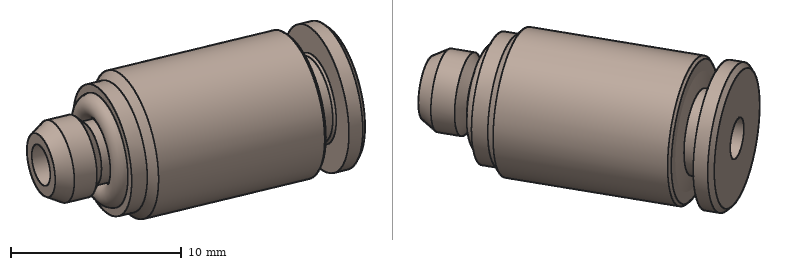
import cadquery as cq

total_length = 19.1
body_diameter = 9.0
body_radius = body_diameter / 2
bore_diameter = 2.5

neck_radius = 1.93
nose_radius = 2.5
nose_taper_end = 0.97
nose_land_end = 2.45
neck_start = 3.02

seal_front = 3.3
seal_radius = 3.48

flange_radius = 4.0
flange_face = 4.0
flange_end = 5.0
body_start = 5.5
body_end = total_length - 2.62
body_chamfer = 0.17

cone_radius = 3.61
cone_height = 0.21

stem_radius = 2.62
stem_flare = 0.15
button_thickness = 1.2
button_chamfer = 0.3
button_start = total_length - button_thickness


def make_revolved_solid():
    """Revolve the outer half profile, given as (radius, Y), about the Y axis."""
    seal_middle_radius = (neck_radius + seal_radius) / 2
    profile = (
        cq.Workplane("XY")
        .moveTo(0, 0)
        .lineTo(neck_radius, 0)
        .lineTo(nose_radius, nose_taper_end)
        .lineTo(nose_radius, nose_land_end)
        .lineTo(neck_radius, neck_start)
        .lineTo(neck_radius, flange_face)
        .threePointArc((seal_middle_radius, seal_front), (seal_radius, flange_face))
        .lineTo(flange_radius, flange_face)
        .lineTo(flange_radius, flange_end)
        .lineTo(body_radius, body_start)
        .lineTo(body_radius, body_end - body_chamfer)
        .lineTo(body_radius - body_chamfer, body_end)
        .lineTo(cone_radius, body_end)
        .lineTo(stem_radius, body_end + cone_height)
        .lineTo(stem_radius, button_start - stem_flare)
        .lineTo(stem_radius + stem_flare, button_start)
        .lineTo(body_radius, button_start)
        .lineTo(body_radius, total_length - button_chamfer)
        .lineTo(body_radius - button_chamfer, total_length)
        .lineTo(0, total_length)
        .close()
    )
    return profile.revolve(360, (0, 0, 0), (0, 1, 0))


def make_bore():
    """Straight passage through the full length."""
    return cq.Workplane("XZ").circle(bore_diameter / 2).extrude(-total_length)


result = make_revolved_solid().cut(make_bore())